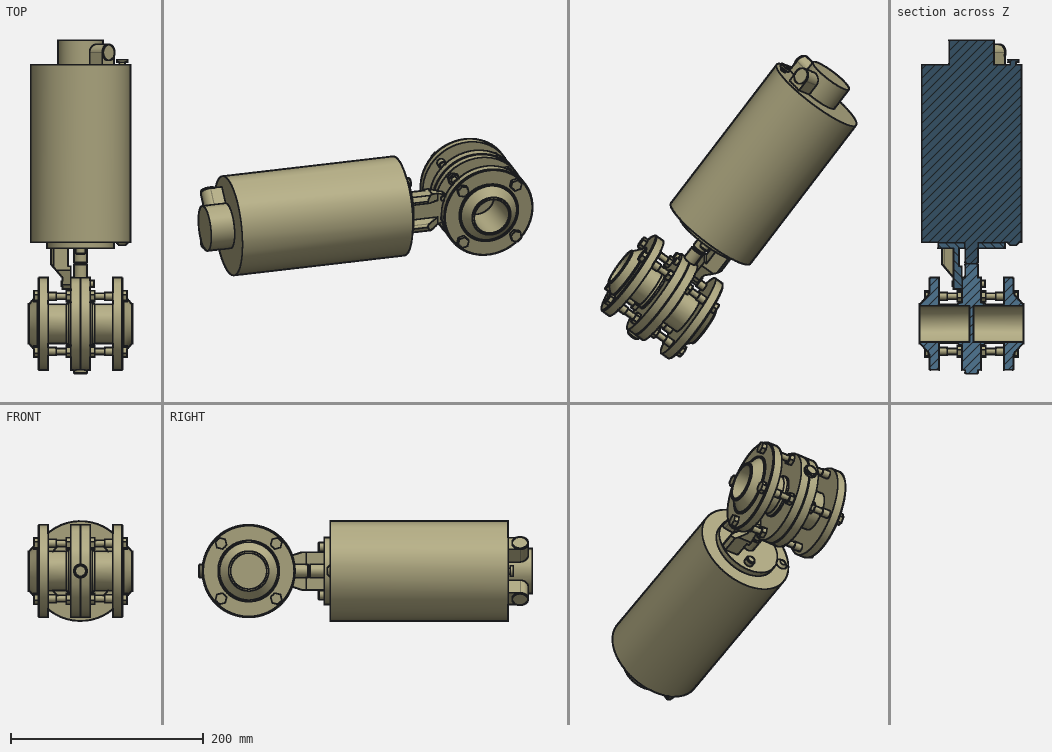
import cadquery as cq
import math


ring_radius = 48.0
ring_half_width = 10.0
seam_width = 0.7
seam_depth = 0.7

flange_inner = 33.5
flange_outer = 43.5
flange_chamfer = 1.0
neck_radius = 20.5
neck_end = 15.0
shoulder_radius = 22.0
shoulder_end = 12.0
collar_radius = 32.0
collar_end = 44.7
cone_radius = 30.0
lip_radius = 20.8
lip_length = 1.0
valve_length = 108.5
valve_half_length = valve_length / 2
bore_radius = 18.7
disc_thickness = 4.0

bolt_count = 4
bolt_circle_radius = 40.5
hex_sides = 6
hex_diameter = 12.0
hex_height = 5.0
sleeve_radius = 4.0
sleeve_length = 8.3
stud_radius = 3.3

stem_radius = 7.0
stem_chamfer = 1.5
stem_joint = 62.7
stem_cap_end = -52.0

clamp_y = 41.5
clamp_z = 11.0
clamp_head_radius = 2.8
clamp_head_height = 1.0
clamp_nut_radius = 3.5
clamp_nut_height = 4.0

plate_radius = 35.0
plate_front = 78.3
plate_screw_z = 25.0
plate_screw_radius = 5.0
plate_screw_height = 6.2
plate_screw_chamfer = 1.0

arm_outer_radius = 34.0
arm_back = -12.8
arm_half_height = 19.7
lip_start = -28.5
lip_middle = (-30.0, 12.5)
web_half_height = 9.5
lip_half_height = 11.5
tip_half_height = 14.5
slant_top = 65.8
pad_face = -18.7
web_face = pad_face
slant_bottom = 47.8
pad_bottom = 36.0
pad_top = 60.0
taper_top = 55.5
taper_bottom = 40.5
taper_half_height = 15.0
pad_end_half_height = 11.0

actuator_radius = 52.0
actuator_front = 84.5
actuator_back = 269.2
cap_radius = 23.5
cap_back = 294.5

port_angle = 45
port_inner = 19.5
port_outer = 40.5
port_radius = 8.5
port_height = 12.5
port_plug_radius = 8.3
port_plug_height = 1.5

vent_x = 43.3
vent_head_radius = 5.5
vent_head_height = 2.8
vent_neck_radius = 3.0
vent_neck_height = 2.5
front_vent_height = 3.0
front_vent_base_radius = 6.2
front_vent_tip_radius = 3.0


def rod_y(radius, y_start, y_end, x=0, z=0):
    """Cylinder parallel to Y."""
    return cq.Workplane("XZ", origin=(x, y_start, z)).circle(radius).extrude(y_start - y_end)


def rod_x(radius, x_start, x_end, y=0, z=0):
    """Cylinder parallel to X."""
    return cq.Workplane("YZ", origin=(x_start, y, z)).circle(radius).extrude(x_end - x_start)


def hex_x(x_start, y):
    """Hexagon head parallel to X, with two of its flats square to Y."""
    half_facet_angle = 180 / hex_sides
    head_plane = cq.Workplane("YZ", origin=(x_start, y, 0)).transformed(rotate=(0, 0, half_facet_angle))
    return head_plane.polygon(hex_sides, hex_diameter).extrude(hex_height)


def flow_body_half():
    """Ring half, neck, flange and welding end on the +X side, as one turned profile."""
    return (
        cq.Workplane("XY")
        .moveTo(0, 0)
        .lineTo(0, ring_radius - seam_depth)
        .lineTo(seam_width / 2, ring_radius - seam_depth)
        .lineTo(seam_width / 2, ring_radius)
        .lineTo(ring_half_width, ring_radius)
        .lineTo(ring_half_width, shoulder_radius)
        .lineTo(shoulder_end, shoulder_radius)
        .lineTo(neck_end, neck_radius)
        .lineTo(flange_inner, neck_radius)
        .lineTo(flange_inner, ring_radius)
        .lineTo(flange_outer - flange_chamfer, ring_radius)
        .lineTo(flange_outer, ring_radius - flange_chamfer)
        .lineTo(flange_outer, collar_radius)
        .lineTo(collar_end, collar_radius)
        .lineTo(collar_end, cone_radius)
        .lineTo(valve_half_length - lip_length, lip_radius)
        .lineTo(valve_half_length, lip_radius)
        .lineTo(valve_half_length, bore_radius)
        .lineTo(disc_thickness / 2, bore_radius)
        .lineTo(disc_thickness / 2, 0)
        .close()
        .revolve(360, (0, 0, 0), (1, 0, 0))
    )


def flange_bolt():
    """Bolt on the +Y side of the flange: outer head, sleeve, stud and inner nut."""
    bolt = hex_x(flange_outer, bolt_circle_radius)
    bolt = bolt.union(rod_x(sleeve_radius, flange_inner - sleeve_length, flange_inner, bolt_circle_radius))
    bolt = bolt.union(rod_x(stud_radius, ring_half_width, flange_outer, bolt_circle_radius))
    return bolt.union(hex_x(ring_half_width, bolt_circle_radius))


def make_valve():
    half = flow_body_half()
    for index in range(bolt_count):
        angle = (index + 0.5) * 360 / bolt_count
        half = half.union(flange_bolt().rotate((0, 0, 0), (1, 0, 0), angle))
    valve = half.union(half.mirror("YZ"))

    stem_root = ring_radius - ring_half_width
    stem = rod_y(stem_radius, stem_root, stem_joint).faces(">Y").chamfer(stem_chamfer)
    stem_cap = rod_y(stem_radius, -stem_root, stem_cap_end).faces("<Y").chamfer(stem_chamfer)
    valve = valve.union(stem).union(stem_cap)

    for z in (-clamp_z, clamp_z):
        nut_end = ring_half_width + clamp_nut_height
        valve = valve.union(rod_x(clamp_nut_radius, ring_half_width, nut_end, clamp_y, z))
    return valve


def bracket_arm():
    """Cranked channel from the plate down to the pad on the centre ring."""
    arm = (
        cq.Workplane("XY")
        .moveTo(arm_back, plate_front)
        .lineTo(-arm_outer_radius, plate_front)
        .lineTo(-arm_outer_radius, slant_top)
        .lineTo(pad_face, slant_bottom)
        .lineTo(pad_face, pad_bottom)
        .lineTo(-ring_half_width, pad_bottom)
        .lineTo(-ring_half_width, pad_top)
        .lineTo(arm_back, pad_top)
        .close()
        .extrude(arm_half_height, both=True)
    )
    arm = arm.intersect(rod_y(arm_outer_radius, pad_bottom, plate_front))

    tip_x = -math.sqrt(arm_outer_radius**2 - tip_half_height**2)
    channel = (
        cq.Workplane("XZ", origin=(0, plate_front, 0))
        .moveTo(web_face, web_half_height)
        .lineTo(lip_start, lip_half_height)
        .threePointArc(lip_middle, (tip_x, tip_half_height))
        .lineTo(-plate_radius, tip_half_height)
        .lineTo(-plate_radius, -tip_half_height)
        .lineTo(tip_x, -tip_half_height)
        .threePointArc((lip_middle[0], -lip_middle[1]), (lip_start, -lip_half_height))
        .lineTo(web_face, -web_half_height)
        .close()
        .extrude(plate_front - pad_bottom)
    )
    arm = arm.cut(channel)

    pad_outline = (
        cq.Workplane("YZ")
        .moveTo(plate_front, arm_half_height)
        .lineTo(taper_top, arm_half_height)
        .lineTo(taper_bottom, taper_half_height)
        .lineTo(pad_bottom, pad_end_half_height)
        .lineTo(pad_bottom, -pad_end_half_height)
        .lineTo(taper_bottom, -taper_half_height)
        .lineTo(taper_top, -arm_half_height)
        .lineTo(plate_front, -arm_half_height)
        .close()
        .extrude(-arm_outer_radius)
    )
    return arm.intersect(pad_outline)


def make_bracket():
    bracket = rod_y(plate_radius, plate_front, actuator_front).union(bracket_arm())
    for side in (-1, 1):
        screw_end = plate_front - plate_screw_height
        screw = rod_y(plate_screw_radius, plate_front, screw_end, z=side * plate_screw_z)
        bracket = bracket.union(screw.faces("<Y").chamfer(plate_screw_chamfer))
        head_end = pad_face - clamp_head_height
        bracket = bracket.union(rod_x(clamp_head_radius, pad_face, head_end, clamp_y, side * clamp_z))
    return bracket.cut(rod_y(stem_radius, plate_front, actuator_front))


def air_port():
    """Arch-shaped port block along +X with a round plug on its outer face."""
    axis_y = actuator_back + port_height
    block = (
        cq.Workplane("YZ", origin=(port_inner, 0, 0))
        .moveTo(actuator_back, -port_radius)
        .lineTo(axis_y, -port_radius)
        .threePointArc((axis_y + port_radius, 0), (axis_y, port_radius))
        .lineTo(actuator_back, port_radius)
        .close()
        .extrude(port_outer - port_inner)
    )
    return block.union(rod_x(port_plug_radius, port_outer, port_outer + port_plug_height, axis_y))


def make_actuator():
    actuator = rod_y(actuator_radius, actuator_front, actuator_back)
    actuator = actuator.union(rod_y(cap_radius, actuator_back, cap_back))
    shaft = rod_y(stem_radius, actuator_front, stem_joint).faces("<Y").chamfer(stem_chamfer)
    actuator = actuator.union(shaft)

    for angle in (-port_angle, port_angle):
        actuator = actuator.union(air_port().rotate((0, 0, 0), (0, 1, 0), angle))

    neck_top = actuator_back + vent_neck_height
    actuator = actuator.union(rod_y(vent_neck_radius, actuator_back, neck_top, vent_x))
    actuator = actuator.union(rod_y(vent_head_radius, neck_top, neck_top + vent_head_height, vent_x))
    front_vent = cq.Solid.makeCone(
        front_vent_base_radius,
        front_vent_tip_radius,
        front_vent_height,
        cq.Vector(vent_x, actuator_front, 0),
        cq.Vector(0, -1, 0),
    )
    return actuator.union(cq.Workplane(front_vent))


valve = make_valve()
bracket = make_bracket()
actuator = make_actuator()

result = cq.Compound.makeCompound([body.solids().val() for body in (valve, bracket, actuator)])